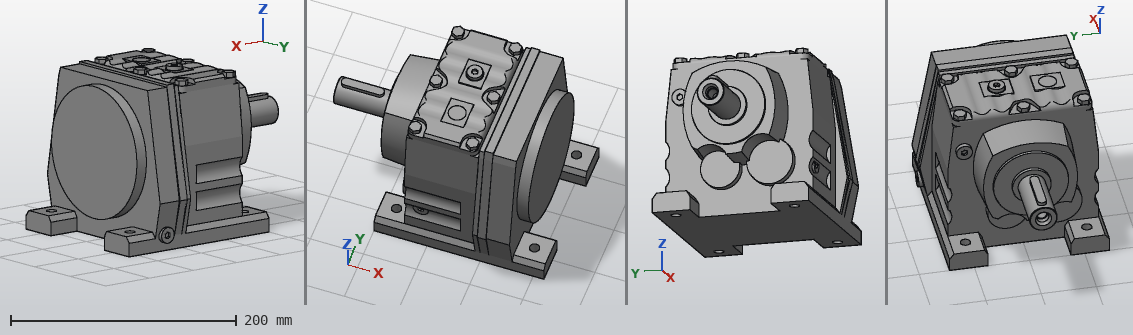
import cadquery as cq
import math


SHAFT_TIP_X = -50.0
BEARING_COVER_X = 3.2
HUB_FACE_X = 6.0
HOUSING_X = 37.2
FLANGE_X = 105.2
RIM_X = 110.0
COVER_X = 118.2
MOTOR_X = 140.1
MOTOR_END_X = 151.0
FOOT_X = 10.0

SHAFT_Z = 90.0
SHAFT_R = 12.5
SHAFT_CHAMFER = 0.6
COLLAR_R = 17.5
BEARING_COVER_R = 34.0
KEY_LENGTH = 40.0
KEY_WIDTH = 8.0
KEY_START_X = -46.5
KEY_TOP = 15.5
KEY_SEAT = 8.5
CENTRE_R = 4.5
CENTRE_RELIEF_R = 5.4
CENTRE_RELIEF_DEPTH = 7.5
CENTRE_SINK_R = 7.3
CENTRE_SINK_DEPTH = 3.0
CENTRE_DEPTH = 22.0

HUB_HALF = 45.3
HUB_CORNER = 36.3
HUB_DRAFT = 2.7
HUB_CORNER_R = 5.0

BOSS_X = 29.8
LARGE_BOSS = (-30.4, 45.0, 21.4)
LARGE_RECESS = (-29.8, 45.0, 18.4)
SMALL_BOSS = (15.5, 41.8, 18.2)
SMALL_RECESS = (18.5, 40.3, 17.0)

HOUSING_HALF = 68.3
HOUSING_TOP_HALF = 63.2
HOUSING_TOP_Z = 137.6
SLOT_WIDTH = 17.0
SLOT_DEPTH = 3.6
SLOT_END_X = 89.8
SLOT_HEIGHTS = (38.6, 63.0)

FLANGE_HALF = 79.2
RIM_HALF = 80.5
FLANGE_WIDEST_Z = 45.0
FLANGE_FOOT_Z = 12.4
FLANGE_TOP_Z = 145.0
FLANGE_TOP_LEFT = 61.6
FLANGE_TOP_RIGHT = 60.8
RIM_TOP_Z = 147.0
MOTOR_R = 60.0
MOTOR_Z = 79.6

FOOT_LENGTH = 160.0
FOOT_OUTER = 72.5
FOOT_INNER = 37.5
FOOT_HEIGHT = 17.7
FOOT_BEVEL_Z = 12.4
FOOT_OUTER_BEVEL = 4.0
FOOT_INNER_BEVEL = 3.2
FOOT_HOLE_D = 9.0
FOOT_HOLE_SPACING_X = 130.0
FOOT_HOLE_SPACING_Y = 110.0

LID_LENGTH = 66.0
LID_TOP_Z = 147.8
LID_END_R = 6.4
LID_CORNER_R = 5.8
LID_BEVEL = 2.6
FIN_PITCH = 18.0
FIN_DEPTH = 1.8
FIN_VALLEYS = 5
PAD_FLOOR_Z = 143.5
PAD_R = 10.0
PAD_FLARE = 14.7
BOLT_INSET_X = 5.8
BOLT_SPACING_X = 54.1
BOLT_Y = 56.2
MIDDLE_BOLT_Y = -1.5
BOLT_ACROSS_FLATS = 10.2

FRONT_PLUG_Y = 54.0
FRONT_PLUG_Z = 110.6
FRONT_PLUG_LENGTH = 4.2
SLOT_PLUG_X = 52.0
SLOT_PLUG_Z = 43.6
SLOT_PLUG_LENGTH = 5.0
SLOT_PLUG_FACE_Y = -67.0
DRAIN_PLUG_Z = 14.6
DRAIN_PLUG_LENGTH = 6.0
DRAIN_PLUG_FACE_Y = 76.7
PLUG_R = 7.2
SOCKET_ACROSS_FLATS = 5.2
SOCKET_DEPTH = 2.5
PLUG_LAND_X = 73.0
PLUG_LAND_LENGTH = 21.4
PLUG_LAND_WIDTH = 27.2
PLUG_LAND_YS = (16.6, -29.6)
PLUG_SEAT_R = 8.0
PLUG_SEAT_DEPTH = 0.3
VENT_TOP_Z = 151.0


def hexagon_diameter(across_flats):
    """Corner-to-corner size of a regular hexagon."""
    return across_flats / math.cos(math.pi / 6)


def x_cylinder(x_start, x_end, y, z, radius):
    """Cylinder along X between two stations."""
    return cq.Workplane("YZ", origin=(x_start, y, z)).circle(radius).extrude(x_end - x_start)


def x_prism(points, x_start, x_end):
    """Prism along X with a polygonal (Y, Z) section."""
    return cq.Workplane("YZ", origin=(x_start, 0, 0)).polyline(points).close().extrude(x_end - x_start)


def socket_plug(plane, length):
    """Round plug along a plane's normal, with a hexagon socket in its outer end."""
    socket = (
        cq.Workplane(plane)
        .workplane(offset=length - SOCKET_DEPTH)
        .transformed(rotate=(0, 0, 90))
        .polygon(6, hexagon_diameter(SOCKET_ACROSS_FLATS))
        .extrude(SOCKET_DEPTH)
    )
    return cq.Workplane(plane).circle(PLUG_R).extrude(length).cut(socket)


def make_shaft():
    shaft = x_cylinder(SHAFT_TIP_X, HUB_FACE_X, 0, SHAFT_Z, SHAFT_R)
    shaft = shaft.faces("<X").chamfer(SHAFT_CHAMFER)
    shaft = shaft.union(x_cylinder(0, HUB_FACE_X, 0, SHAFT_Z, COLLAR_R))
    shaft = shaft.union(x_cylinder(BEARING_COVER_X, HUB_FACE_X, 0, SHAFT_Z, BEARING_COVER_R))
    key = (
        cq.Workplane("XY", origin=(KEY_START_X + KEY_LENGTH / 2, 0, SHAFT_Z + KEY_SEAT))
        .slot2D(KEY_LENGTH, KEY_WIDTH)
        .extrude(KEY_TOP - KEY_SEAT)
    )
    return shaft.union(key)


def make_centre_hole():
    """Centre hole in the shaft end: countersink, relief, bore and conical drill point."""
    sink_end = SHAFT_TIP_X + CENTRE_SINK_DEPTH
    relief_end = SHAFT_TIP_X + CENTRE_RELIEF_DEPTH
    bore_end = SHAFT_TIP_X + CENTRE_DEPTH
    return (
        cq.Workplane("XY", origin=(0, 0, SHAFT_Z))
        .moveTo(SHAFT_TIP_X, 0)
        .lineTo(SHAFT_TIP_X, CENTRE_SINK_R)
        .lineTo(sink_end, CENTRE_RELIEF_R)
        .lineTo(relief_end, CENTRE_RELIEF_R)
        .lineTo(relief_end, CENTRE_R)
        .lineTo(bore_end, CENTRE_R)
        .lineTo(bore_end + CENTRE_R, 0)
        .close()
        .revolve(360, (0, 0, 0), (1, 0, 0))
    )


def hub_section(workplane, half, corner):
    """Square with four bulging sides, centred on the shaft."""
    return (
        workplane.moveTo(-corner, corner)
        .threePointArc((0, half), (corner, corner))
        .threePointArc((half, 0), (corner, -corner))
        .threePointArc((0, -half), (-corner, -corner))
        .threePointArc((-half, 0), (-corner, corner))
        .close()
    )


def make_hub():
    face_half = HUB_HALF - HUB_DRAFT
    face_corner = HUB_CORNER * face_half / HUB_HALF
    face = hub_section(cq.Workplane("YZ", origin=(HUB_FACE_X, 0, SHAFT_Z)), face_half, face_corner)
    base = face.workplane(offset=HOUSING_X - HUB_FACE_X)
    hub = hub_section(base, HUB_HALF, HUB_CORNER).loft(ruled=True)
    lower_left_corner = cq.selectors.NearestToPointSelector(
        ((HUB_FACE_X + HOUSING_X) / 2, HUB_CORNER, SHAFT_Z - HUB_CORNER)
    )
    hub = hub.edges(lower_left_corner).fillet(HUB_CORNER_R)
    for y, z, radius in (LARGE_RECESS, SMALL_RECESS):
        hub = hub.cut(x_cylinder(HUB_FACE_X, BOSS_X, y, z, radius))
    for y, z, radius in (LARGE_BOSS, SMALL_BOSS):
        hub = hub.union(x_cylinder(BOSS_X, HOUSING_X, y, z, radius))
    return hub


def make_housing():
    section = [
        (-HOUSING_HALF, 0),
        (HOUSING_HALF, 0),
        (HOUSING_HALF, SHAFT_Z),
        (HOUSING_TOP_HALF, HOUSING_TOP_Z),
        (-HOUSING_TOP_HALF, HOUSING_TOP_Z),
        (-HOUSING_HALF, SHAFT_Z),
    ]
    housing = x_prism(section, HOUSING_X, FLANGE_X)
    slot_r = (SLOT_WIDTH**2 / 4 + SLOT_DEPTH**2) / (2 * SLOT_DEPTH)
    slot_y = HOUSING_HALF - SLOT_DEPTH + slot_r
    for side in (-1, 1):
        for z in SLOT_HEIGHTS:
            housing = housing.cut(x_cylinder(HOUSING_X, SLOT_END_X, side * slot_y, z, slot_r))
    return housing


def flange_plate(x_start, x_end, half_width, top_z):
    """Plate down to the ground, widest part-way up, where it reaches half_width to each side."""
    section = [
        (-FOOT_OUTER, 0),
        (FOOT_OUTER, 0),
        (FOOT_OUTER, FLANGE_FOOT_Z),
        (half_width, FLANGE_WIDEST_Z),
        (FLANGE_TOP_LEFT, top_z),
        (-FLANGE_TOP_RIGHT, top_z),
        (-HOUSING_TOP_HALF, HOUSING_TOP_Z),
        (-half_width, FLANGE_WIDEST_Z),
        (-FOOT_OUTER, FLANGE_FOOT_Z),
    ]
    return x_prism(section, x_start, x_end)


def make_rear_end():
    rear = flange_plate(FLANGE_X, MOTOR_X, FLANGE_HALF, FLANGE_TOP_Z)
    rear = rear.union(flange_plate(RIM_X, COVER_X, RIM_HALF, RIM_TOP_Z))
    return rear.union(x_cylinder(MOTOR_X, MOTOR_END_X, 0, MOTOR_Z, MOTOR_R))


def make_feet():
    section = [
        (FOOT_INNER, 0),
        (FOOT_OUTER, 0),
        (FOOT_OUTER, FOOT_BEVEL_Z),
        (FOOT_OUTER - FOOT_OUTER_BEVEL, FOOT_HEIGHT),
        (FOOT_INNER + FOOT_INNER_BEVEL, FOOT_HEIGHT),
        (FOOT_INNER, FOOT_BEVEL_Z),
    ]
    foot = x_prism(section, FOOT_X, FOOT_X + FOOT_LENGTH)
    holes = (
        cq.Workplane("XY", origin=(FOOT_X + FOOT_LENGTH / 2, 0, 0))
        .rarray(FOOT_HOLE_SPACING_X, FOOT_HOLE_SPACING_Y, 2, 2)
        .circle(FOOT_HOLE_D / 2)
        .extrude(FOOT_HEIGHT)
    )
    return foot.union(foot.mirror("XZ")).cut(holes)


def lid_blank():
    """Lid with a wavy top: rounded ridges and valleys that run along X."""
    half = HOUSING_TOP_HALF
    quarter = FIN_PITCH / 4
    fin_edge = FIN_VALLEYS * FIN_PITCH / 2
    mid_z = LID_TOP_Z - FIN_DEPTH / 2
    outline = (
        cq.Workplane("YZ", origin=(HOUSING_X, 0, 0))
        .moveTo(half, HOUSING_TOP_Z)
        .lineTo(half, LID_TOP_Z - LID_BEVEL)
        .lineTo(half - LID_BEVEL, LID_TOP_Z)
        .lineTo(fin_edge, LID_TOP_Z)
    )
    for step in range(2 * FIN_VALLEYS):
        outline = outline.tangentArcPoint((fin_edge - quarter - 2 * quarter * step, mid_z), relative=False)
    outline = (
        outline.tangentArcPoint((-fin_edge, LID_TOP_Z), relative=False)
        .lineTo(-half + LID_BEVEL, LID_TOP_Z)
        .lineTo(-half, LID_TOP_Z - LID_BEVEL)
        .lineTo(-half, HOUSING_TOP_Z)
        .close()
    )
    return outline.extrude(LID_LENGTH)


def corner_pad(x, y, x_side, y_side):
    """Bolt recess open to a lid corner, round on its inner corner."""
    reach = 2 * PAD_R
    return (
        cq.Workplane("XY", origin=(x, y, PAD_FLOOR_Z))
        .moveTo(-x_side * PAD_R, 0)
        .lineTo(-x_side * PAD_R, y_side * reach)
        .lineTo(x_side * reach, y_side * reach)
        .lineTo(x_side * reach, -y_side * PAD_R)
        .lineTo(0, -y_side * PAD_R)
        .threePointArc(
            (-x_side * PAD_R * math.sqrt(0.5), -y_side * PAD_R * math.sqrt(0.5)), (-x_side * PAD_R, 0)
        )
        .close()
        .extrude(PAD_R)
    )


def middle_pad(x, y, x_side):
    """Bolt recess open to a lid end, flaring from a round nose along tangent sides."""
    edge_angle = math.atan2(PAD_FLARE, BOLT_INSET_X)
    tangent_angle = edge_angle + math.acos(PAD_R / math.hypot(PAD_FLARE, BOLT_INSET_X))
    tangent_x = x_side * PAD_R * math.cos(tangent_angle)
    tangent_y = PAD_R * math.sin(tangent_angle)
    return (
        cq.Workplane("XY", origin=(x, y, PAD_FLOOR_Z))
        .moveTo(x_side * BOLT_INSET_X, PAD_FLARE)
        .lineTo(tangent_x, tangent_y)
        .threePointArc((-x_side * PAD_R, 0), (tangent_x, -tangent_y))
        .lineTo(x_side * BOLT_INSET_X, -PAD_FLARE)
        .close()
        .extrude(PAD_R)
    )


def bolt_head(x, y):
    """Hexagon head standing on a pad floor, with corners toward +Y and -Y."""
    return (
        cq.Workplane("XY", origin=(x, y, PAD_FLOOR_Z))
        .transformed(rotate=(0, 0, 90))
        .polygon(6, hexagon_diameter(BOLT_ACROSS_FLATS))
        .extrude(LID_TOP_Z - PAD_FLOOR_Z)
    )


def make_lid():
    height = LID_TOP_Z - HOUSING_TOP_Z
    lid = lid_blank()
    for y in PLUG_LAND_YS:
        land = cq.Workplane("XY", origin=(PLUG_LAND_X, y, HOUSING_TOP_Z))
        lid = lid.union(land.rect(PLUG_LAND_LENGTH, PLUG_LAND_WIDTH).extrude(height))
        seat = cq.Workplane("XY", origin=(PLUG_LAND_X, y, LID_TOP_Z - PLUG_SEAT_DEPTH))
        lid = lid.cut(seat.circle(PLUG_SEAT_R).extrude(PLUG_SEAT_DEPTH))
    envelope = (
        cq.Workplane("XY", origin=(HOUSING_X + LID_LENGTH / 2, 0, HOUSING_TOP_Z))
        .rect(LID_LENGTH, 2 * HOUSING_TOP_HALF)
        .extrude(height)
    )
    rounded_ends = envelope.edges(">Z and |Y").fillet(LID_END_R)
    rounded_corners = envelope.edges("|Z").fillet(LID_CORNER_R)
    lid = lid.intersect(rounded_ends).intersect(rounded_corners)

    front_bolt_x = HOUSING_X + BOLT_INSET_X
    for x, x_side in ((front_bolt_x, -1), (front_bolt_x + BOLT_SPACING_X, 1)):
        lid = lid.cut(middle_pad(x, MIDDLE_BOLT_Y, x_side))
        for y_side in (-1, 1):
            lid = lid.cut(corner_pad(x, y_side * BOLT_Y, x_side, y_side))
        for y in (-BOLT_Y, MIDDLE_BOLT_Y, BOLT_Y):
            lid = lid.union(bolt_head(x, y))
    return lid


def make_plugs():
    """Socket plugs: housing front, lower side slot, rear cover side and lid top."""
    front_seat = (HOUSING_X, FRONT_PLUG_Y, FRONT_PLUG_Z)
    front = socket_plug(cq.Plane(front_seat, (0, 1, 0), (-1, 0, 0)), FRONT_PLUG_LENGTH)

    slot_seat = (SLOT_PLUG_X, SLOT_PLUG_FACE_Y + SLOT_PLUG_LENGTH, SLOT_PLUG_Z)
    slot = socket_plug(cq.Plane(slot_seat, (1, 0, 0), (0, -1, 0)), SLOT_PLUG_LENGTH)

    drain_seat = ((COVER_X + MOTOR_X) / 2, DRAIN_PLUG_FACE_Y - DRAIN_PLUG_LENGTH, DRAIN_PLUG_Z)
    drain = socket_plug(cq.Plane(drain_seat, (1, 0, 0), (0, 1, 0)), DRAIN_PLUG_LENGTH)

    vent_z = LID_TOP_Z - PLUG_SEAT_DEPTH
    vent_seat = (PLUG_LAND_X, PLUG_LAND_YS[0], vent_z)
    vent = socket_plug(cq.Plane(vent_seat, (1, 0, 0), (0, 0, 1)), VENT_TOP_Z - vent_z)
    return front.union(slot).union(drain).union(vent)


result = (
    make_housing()
    .union(make_rear_end())
    .union(make_feet())
    .union(make_lid())
    .union(make_hub())
    .union(make_shaft())
    .cut(make_centre_hole())
    .union(make_plugs())
)